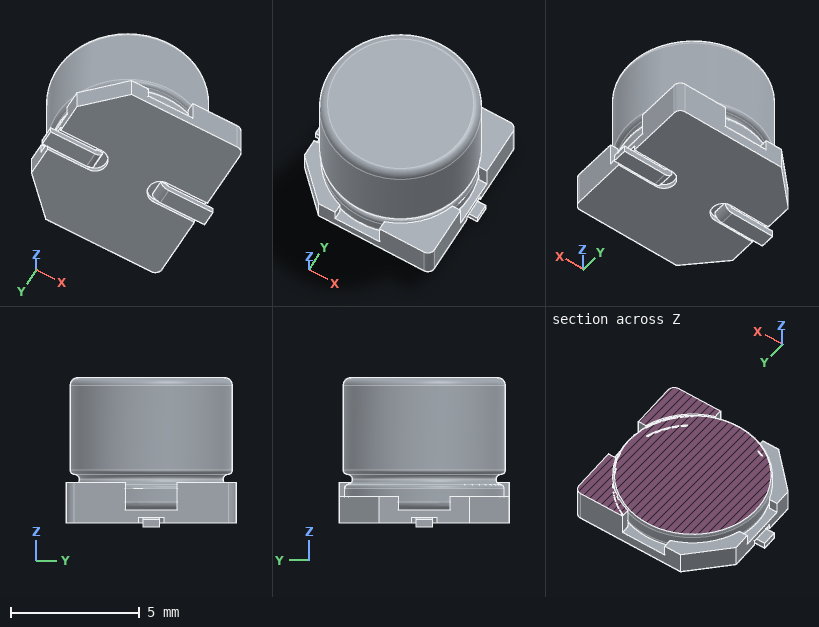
import cadquery as cq
import math

overall_length = 7.3
overall_height = 5.8

base_size = 6.6
base_bottom = 0.15
base_floor = 0.66
low_wall_top = 1.175
high_wall_top = 1.73
corner_chamfer = 1.55
corner_radius = 0.3
notch_width = 2.0

can_radius = 6.3 / 2
can_top_fillet = 0.315
foot_radius = 6.2 / 2
foot_fillet = 0.32

groove_radius = 0.175
groove_waist_height = 0.03
groove_waist_bottom = 1.83

lead_width = 0.65
lead_thickness = 0.3
lead_inner_bend = 0.05
lead_leg_face = 1.605
slot_width = 1.0
slot_top = 0.37
slot_end_center = 1.46


def base_block(top):
    """Base plate block from the base bottom up to the height top."""
    return (
        cq.Workplane("XY", origin=(0, 0, base_bottom))
        .rect(base_size, base_size)
        .extrude(top - base_bottom)
        .edges("|Z and <X")
        .chamfer(corner_chamfer)
        .edges("|Z and >X")
        .fillet(corner_radius)
    )


def slot(side):
    """Round-ended lead slot in the base underside; side is -1 or +1 along X."""
    depth = slot_top - base_bottom
    plane = cq.Workplane("XY", origin=(side * slot_end_center, 0, base_bottom))
    round_end = plane.circle(slot_width / 2).extrude(depth)
    run_length = base_size / 2 - slot_end_center
    run = plane.center(side * run_length / 2, 0).rect(run_length, slot_width).extrude(depth)
    return round_end.union(run)


def make_base():
    """Base with a high wall at +X, a round seat for the can and a notch in each side."""
    low_wall_end = notch_width / 2
    low_length = base_size / 2 + low_wall_end
    above_low_wall = (
        cq.Workplane("XY", origin=(low_wall_end - low_length / 2, 0, low_wall_top))
        .rect(low_length, base_size)
        .extrude(high_wall_top - low_wall_top)
    )
    floor_plane = cq.Workplane("XY", origin=(0, 0, base_floor))
    wall_height = high_wall_top - base_floor
    seat = floor_plane.circle(foot_radius).extrude(wall_height)
    notches_x = floor_plane.rect(base_size, notch_width).extrude(wall_height)
    notches_y = floor_plane.rect(notch_width, base_size).extrude(wall_height)

    base = base_block(high_wall_top).cut(above_low_wall)
    base = base.cut(seat).cut(notches_x).cut(notches_y)
    for side in (-1, 1):
        base = base.cut(slot(side))
    return base


def make_can():
    """Revolved can: rounded foot, rolled groove and rounded top rim."""
    waist_radius = can_radius - 2 * groove_radius
    waist_top = groove_waist_bottom + groove_waist_height
    upper_lip = waist_top + groove_radius
    wall_bottom = upper_lip + groove_radius

    shoulder_center = foot_radius - groove_radius
    groove_center = waist_radius + groove_radius
    center_offset = groove_center - shoulder_center
    center_rise = math.sqrt((2 * groove_radius) ** 2 - center_offset ** 2)
    shoulder_bottom = groove_waist_bottom - center_rise
    touch_point = ((shoulder_center + groove_center) / 2, groove_waist_bottom - center_rise / 2)

    profile = (
        cq.Workplane("XZ")
        .moveTo(0, base_floor)
        .lineTo(foot_radius - foot_fillet, base_floor)
        .radiusArc((foot_radius, base_floor + foot_fillet), -foot_fillet)
        .lineTo(foot_radius, shoulder_bottom)
        .radiusArc(touch_point, -groove_radius)
        .radiusArc((waist_radius, groove_waist_bottom), groove_radius)
        .lineTo(waist_radius, waist_top)
        .radiusArc((groove_center, upper_lip), groove_radius)
        .radiusArc((can_radius, wall_bottom), -groove_radius)
        .lineTo(can_radius, overall_height - can_top_fillet)
        .radiusArc((can_radius - can_top_fillet, overall_height), -can_top_fillet)
        .lineTo(0, overall_height)
        .close()
    )
    return profile.revolve(360, (0, 0, 0), (0, 1, 0))


def make_lead():
    """Lead at -X: flat tail at the bottom, bent up through the base to the can."""
    outer_bend = lead_inner_bend + lead_thickness
    tail_end = -overall_length / 2
    leg_outer = -lead_leg_face
    leg_inner = leg_outer + lead_thickness
    profile = (
        cq.Workplane("XZ")
        .moveTo(tail_end, 0)
        .lineTo(leg_inner - outer_bend, 0)
        .radiusArc((leg_inner, outer_bend), -outer_bend)
        .lineTo(leg_inner, base_floor)
        .lineTo(leg_outer, base_floor)
        .lineTo(leg_outer, lead_thickness + lead_inner_bend)
        .radiusArc((leg_outer - lead_inner_bend, lead_thickness), lead_inner_bend)
        .lineTo(tail_end, lead_thickness)
        .close()
    )
    return profile.extrude(lead_width / 2, both=True)


lead = make_lead()
result = make_base().union(make_can()).union(lead).union(lead.mirror("YZ"))